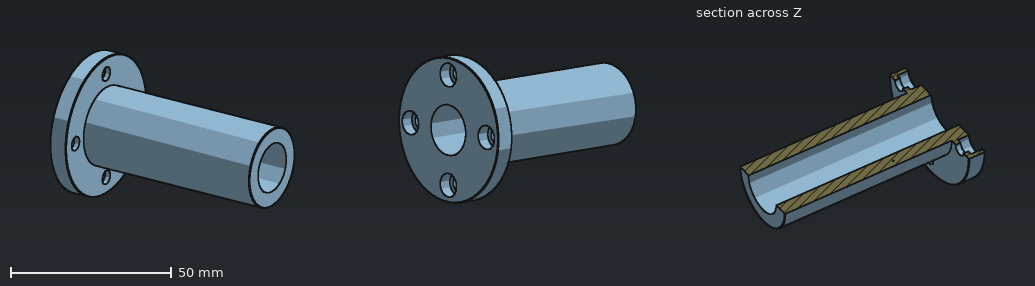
import cadquery as cq

total_length = 68.0
flange_diameter = 46.0
flange_thickness = 6.0
body_diameter = 26.0
bore_diameter = 16.0
edge_chamfer = 0.25

bolt_count = 4
bolt_circle_diameter = 35.0
bolt_hole_diameter = 4.5
counterbore_diameter = 7.5
counterbore_depth = 4.1


def cylinder(diameter, length):
    """Cylinder along +X, starting at the outer flange face."""
    return cq.Workplane("YZ").circle(diameter / 2).extrude(length)


def make_flange():
    """Disc with both rims chamfered."""
    return cylinder(flange_diameter, flange_thickness).edges().chamfer(edge_chamfer)


def make_body():
    """Sleeve blank, chamfered at its far end."""
    return cylinder(body_diameter, total_length).faces(">X").edges().chamfer(edge_chamfer)


def bolt_circle_cylinders(diameter, depth):
    """Cylinders evenly spaced on the bolt circle, the first one on +Y."""
    centres = cq.Workplane("YZ").polarArray(bolt_circle_diameter / 2, 0, 360, bolt_count)
    return centres.circle(diameter / 2).extrude(depth)


result = (
    make_flange()
    .union(make_body())
    .cut(cylinder(bore_diameter, total_length))
    .cut(bolt_circle_cylinders(bolt_hole_diameter, flange_thickness))
    .cut(bolt_circle_cylinders(counterbore_diameter, counterbore_depth))
)